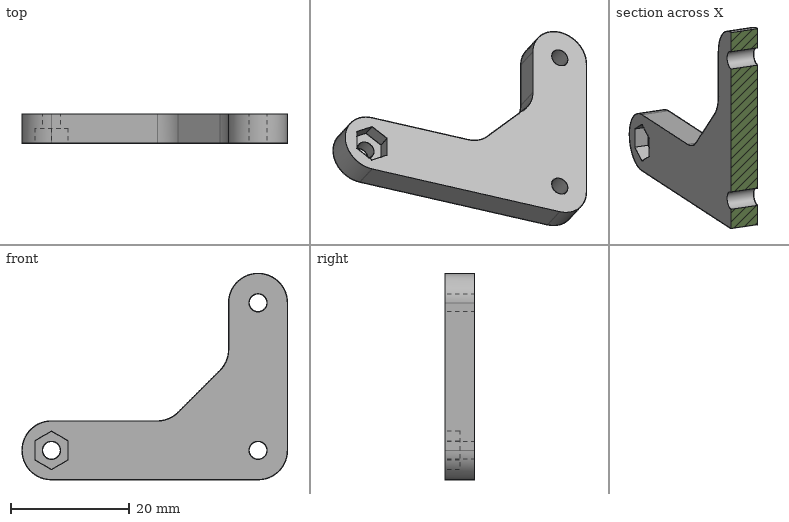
import cadquery as cq

length = 45.0
height = 35.0
thickness = 5.0
arm_width = 10.0

gusset_leg = 10.0
gusset_blend_radius = 5.0

hole_diameter = 3.0
nut_sides = 6
nut_across_corners = 6.5
nut_pocket_depth = 2.5

end_radius = arm_width / 2
column_left = length - arm_width
column_center = length - end_radius
arm_end_hole = (end_radius, end_radius)
corner_hole = (column_center, end_radius)
column_top_hole = (column_center, height - end_radius)


def plate():
    """L-shaped plate with round arm ends, a round outer corner and a blended gusset."""
    outline = (
        cq.Workplane("XZ")
        .moveTo(end_radius, 0)
        .lineTo(length, 0)
        .lineTo(length, height - end_radius)
        .threePointArc((column_center, height), (column_left, height - end_radius))
        .lineTo(column_left, arm_width + gusset_leg)
        .lineTo(column_left - gusset_leg, arm_width)
        .lineTo(end_radius, arm_width)
        .threePointArc((0, end_radius), (end_radius, 0))
        .close()
    )
    body = outline.extrude(-thickness)

    mid_y = thickness / 2
    outer_corner = cq.selectors.NearestToPointSelector((length, mid_y, 0))
    gusset_upper = cq.selectors.NearestToPointSelector((column_left, mid_y, arm_width + gusset_leg))
    gusset_lower = cq.selectors.NearestToPointSelector((column_left - gusset_leg, mid_y, arm_width))
    body = body.edges(outer_corner).fillet(end_radius)
    body = body.edges(gusset_upper).fillet(gusset_blend_radius)
    return body.edges(gusset_lower).fillet(gusset_blend_radius)


def screw_holes():
    """Cylinders through the full thickness at the three screw positions."""
    return (
        cq.Workplane("XZ")
        .pushPoints([arm_end_hole, corner_hole, column_top_hole])
        .circle(hole_diameter / 2)
        .extrude(-thickness)
    )


def nut_pocket():
    """Hexagonal prism sunk from the front face, with two corners on the vertical axis."""
    return (
        cq.Workplane("XZ")
        .center(*arm_end_hole)
        .transformed(rotate=(0, 0, 90))
        .polygon(nut_sides, nut_across_corners)
        .extrude(-nut_pocket_depth)
    )


result = plate().cut(screw_holes()).cut(nut_pocket())